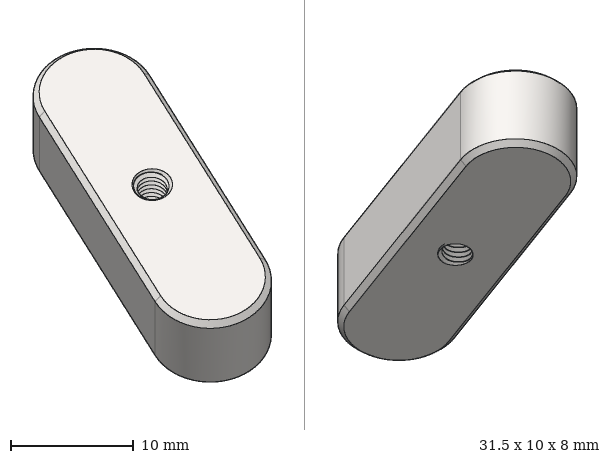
import cadquery as cq
import math

length = 31.5
width = 10.0
height = 8.0
rim_chamfer = 0.5

bore_diameter = 2.5
thread_root_diameter = 3.2
thread_pitch = 0.5
thread_flank_angle = 60
thread_root_flat = thread_pitch / 10
countersink_diameter = 3.3

bore_radius = bore_diameter / 2
thread_root_radius = thread_root_diameter / 2

bore_overlap = 0.02
thread_runout = thread_pitch
thread_phase_shift = thread_pitch / 12


def make_block():
    block = cq.Workplane("XY").slot2D(length, width).extrude(height)
    return block.faces("|Z").edges().chamfer(rim_chamfer)


def make_bore():
    return cq.Workplane("XY").circle(bore_radius).extrude(height)


def make_countersink():
    """Cone that narrows from the top face down to the bore."""
    mouth_radius = countersink_diameter / 2
    depth = mouth_radius - bore_radius
    cone = cq.Solid.makeCone(bore_radius, mouth_radius, depth)
    return cq.Workplane(obj=cone).translate((0, 0, height - depth))


def make_thread_groove():
    """Right-hand helical groove with a trapezoidal section, open towards the bore."""
    mouth_radius = bore_radius - bore_overlap
    flank_slope = math.tan(math.radians(thread_flank_angle / 2))
    root_half = thread_root_flat / 2
    mouth_half = root_half + (thread_root_radius - mouth_radius) * flank_slope
    helix = cq.Wire.makeHelix(thread_pitch, height + 2 * thread_runout, bore_radius)
    profile = cq.Workplane("XZ").polyline([
        (mouth_radius, -mouth_half),
        (thread_root_radius, -root_half),
        (thread_root_radius, root_half),
        (mouth_radius, mouth_half),
    ]).close()
    groove = profile.sweep(cq.Workplane(obj=helix), isFrenet=True)
    return groove.translate((0, 0, -thread_runout - thread_phase_shift))


result = (
    make_block()
    .cut(make_bore())
    .cut(make_countersink())
    .cut(make_thread_groove())
)